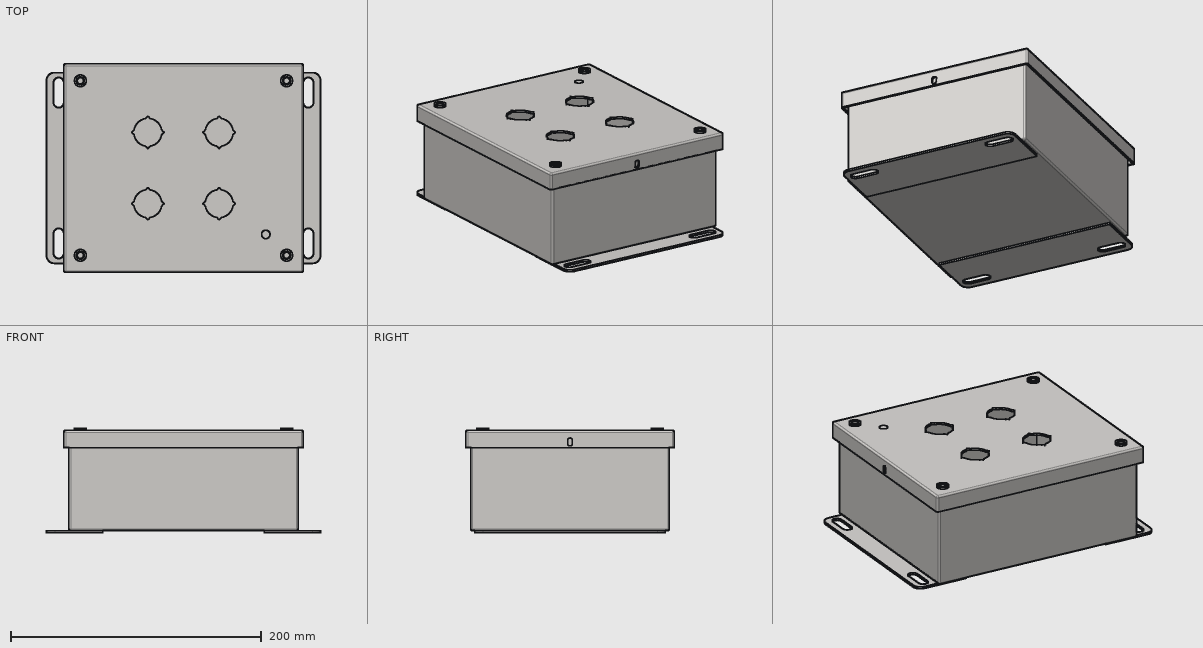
import cadquery as cq

SHEET = 1.5
BEND = 1.5

TOTAL_HEIGHT = 83.5
SCREW_HEAD_HEIGHT = 1.5
COVER_TOP = TOTAL_HEIGHT - SCREW_HEAD_HEIGHT

COVER_LENGTH = 191.2
COVER_WIDTH = 166.7
COVER_HEIGHT = 14.0
COVER_BOTTOM = COVER_TOP - COVER_HEIGHT

SKIRT_OVERHANG = 4.0
HOUSING_LENGTH = COVER_LENGTH - 2 * SKIRT_OVERHANG
HOUSING_WIDTH = COVER_WIDTH - 2 * SKIRT_OVERHANG

FLANGE_THICKNESS = 1.8
FLANGE_OUTER_X = 109.5
FLANGE_INNER_X = 64.5
FLANGE_WIDTH = 152.5
FLANGE_CORNER_RADIUS = 6.5
MOUNT_SLOT_LENGTH = 23.9
MOUNT_SLOT_WIDTH = 8.0
MOUNT_SLOT_X = 99.7
MOUNT_SLOT_Y = 60.2

HOUSING_HEIGHT = COVER_TOP - SHEET - FLANGE_THICKNESS

BUTTON_PITCH = 57.0
BUTTON_DIAMETER = 22.3
NOTCH_TIP_SPAN = 25.9
NOTCH_WIDTH = 4.0

PLUG_DIAMETER = 6.8
PLUG_X = 65.7
PLUG_Y = -53.0

SCREW_X = 82.4
SCREW_Y = 69.7
SCREW_HEAD_DIAMETER = 9.5
SOCKET_RIM_DIAMETER = 6.1
SOCKET_RIM_DEPTH = 0.5
SOCKET_DIAMETER = 5.0
SOCKET_DEPTH = SCREW_HEAD_HEIGHT + SHEET

SKIRT_SLOT_LENGTH = 6.4
SKIRT_SLOT_WIDTH = 4.0
SKIRT_SLOT_RISE = 4.5


def folded_tray(length, width, height):
    """Open-topped sheet tray standing on Z = 0, with rounded outside folds."""
    outer = (
        cq.Workplane("XY")
        .box(length, width, height, centered=(True, True, False))
        .edges("|Z or <Z")
        .fillet(BEND)
    )
    cavity = (
        cq.Workplane("XY")
        .workplane(offset=SHEET)
        .box(length - 2 * SHEET, width - 2 * SHEET, height, centered=(True, True, False))
    )
    return outer.cut(cavity)


def mounting_flange(side):
    """Slotted strip lapped under one end of the housing; side is -1 or 1."""
    length = FLANGE_OUTER_X - FLANGE_INNER_X
    outer_edges = ">X" if side > 0 else "<X"
    return (
        cq.Workplane("XY")
        .center(side * (FLANGE_OUTER_X + FLANGE_INNER_X) / 2, 0)
        .box(length, FLANGE_WIDTH, FLANGE_THICKNESS, centered=(True, True, False))
        .faces(outer_edges)
        .edges("|Z")
        .fillet(FLANGE_CORNER_RADIUS)
    )


def mounting_slots():
    return (
        cq.Workplane("XY")
        .rect(2 * MOUNT_SLOT_X, 2 * MOUNT_SLOT_Y, forConstruction=True)
        .vertices()
        .slot2D(MOUNT_SLOT_LENGTH, MOUNT_SLOT_WIDTH, 90)
        .extrude(FLANGE_THICKNESS)
    )


def make_housing():
    """Deep tray with a mounting flange welded under each end."""
    tray = folded_tray(HOUSING_LENGTH, HOUSING_WIDTH, HOUSING_HEIGHT)
    housing = tray.translate((0, 0, FLANGE_THICKNESS))
    for side in (-1, 1):
        housing = housing.union(mounting_flange(side))
    return housing.cut(mounting_slots())


def button_opening():
    """Round cutter standing on Z = 0 with a V-shaped locating notch on each axis."""
    opening = cq.Workplane("XY").circle(BUTTON_DIAMETER / 2).extrude(SHEET)
    tip = NOTCH_TIP_SPAN / 2
    base = tip - NOTCH_WIDTH / 2
    for quarter in range(4):
        notch = (
            cq.Workplane("XY")
            .polyline([(0, 0), (base, -NOTCH_WIDTH / 2), (tip, 0), (base, NOTCH_WIDTH / 2)])
            .close()
            .extrude(SHEET)
            .rotate((0, 0, 0), (0, 0, 1), 90 * quarter)
        )
        opening = opening.union(notch)
    return opening


def make_plug():
    """Round plug as thick as the cover sheet, flush with its top face."""
    return (
        cq.Workplane("XY")
        .workplane(offset=COVER_TOP - SHEET)
        .center(PLUG_X, PLUG_Y)
        .circle(PLUG_DIAMETER / 2)
        .extrude(SHEET)
    )


def skirt_slot():
    """Upright slot through the skirt at both ends of the cover."""
    return (
        cq.Workplane("YZ")
        .center(0, COVER_BOTTOM + SKIRT_SLOT_RISE)
        .slot2D(SKIRT_SLOT_LENGTH, SKIRT_SLOT_WIDTH, 90)
        .extrude(COVER_LENGTH, both=True)
    )


def screw_head():
    """Round head standing on Z = 0."""
    return cq.Workplane("XY").circle(SCREW_HEAD_DIAMETER / 2).extrude(SCREW_HEAD_HEIGHT)


def screw_socket():
    """Socket cutter hanging below Z = 0, tapered at the rim and straight below it."""
    rim = (
        cq.Workplane("XY")
        .circle(SOCKET_RIM_DIAMETER / 2)
        .workplane(offset=-SOCKET_RIM_DEPTH)
        .circle(SOCKET_DIAMETER / 2)
        .loft(ruled=True)
    )
    return rim.union(cq.Workplane("XY").circle(SOCKET_DIAMETER / 2).extrude(-SOCKET_DEPTH))


def make_cover():
    """Shallow inverted tray with openings and a screw head near each corner."""
    tray = folded_tray(COVER_LENGTH, COVER_WIDTH, COVER_HEIGHT)
    cover = tray.rotate((0, 0, 0), (1, 0, 0), 180).translate((0, 0, COVER_TOP))
    for x in (-BUTTON_PITCH / 2, BUTTON_PITCH / 2):
        for y in (-BUTTON_PITCH / 2, BUTTON_PITCH / 2):
            cover = cover.cut(button_opening().translate((x, y, COVER_TOP - SHEET)))
    for x in (-SCREW_X, SCREW_X):
        for y in (-SCREW_Y, SCREW_Y):
            cover = cover.union(screw_head().translate((x, y, COVER_TOP)))
            cover = cover.cut(screw_socket().translate((x, y, TOTAL_HEIGHT)))
    return cover.cut(skirt_slot()).cut(make_plug())


housing = make_housing()
cover = make_cover()
plug = make_plug()

result = cq.Compound.makeCompound([housing.val(), cover.val(), plug.val()])